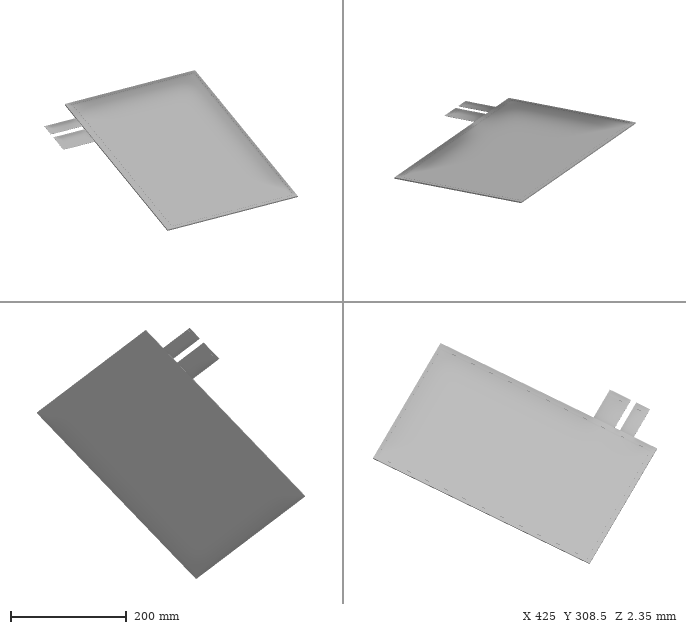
import cadquery as cq

panel_width = 425.0
panel_depth = 248.0
panel_thickness = 2.35

groove_outer_margins = (7.2, 5.5, 9.0, 4.5)
groove_inner_margins = (8.0, 7.0, 11.5, 7.0)
groove_depth = 0.2

tails = ((46.0, 27.0), (83.5, 41.5))
overall_depth = 308.5
tail_length = overall_depth - panel_depth
tail_root = 4.2
film_bottom = 1.0
film_thickness = 0.5
film_top = film_bottom + film_thickness

stiffener_length = 10.0
stiffener_thickness = 0.2
stiffener_overhang = 4.5

contact_pitch = 1.0
contact_width = contact_pitch / 2
contact_thickness = 0.1
contact_tip_gap = 0.5
contact_side_margin = 1.0
contact_length = stiffener_overhang - contact_tip_gap


def block(x, y, z, width, depth, height):
    """Box with its lowest corner at (x, y, z)."""
    return cq.Workplane("XY").box(width, depth, height, centered=False).translate((x, y, z))


def inset_block(margins, bottom, height):
    """Box inside the panel outline, set in from its four edges."""
    left, right, front, back = margins
    width = panel_width - left - right
    depth = panel_depth - front - back
    return block(left, front, bottom, width, depth, height)


def make_panel():
    groove_floor = panel_thickness - groove_depth
    groove = inset_block(groove_outer_margins, groove_floor, groove_depth).cut(
        inset_block(groove_inner_margins, groove_floor, groove_depth)
    )
    return block(0, 0, 0, panel_width, panel_depth, panel_thickness).cut(groove)


def make_contacts(left, width):
    """Row of contact fingers centred on the tail, joined to the film end and the stiffener."""
    count = int((width - 2 * contact_side_margin) / contact_pitch)
    row_width = (count - 1) * contact_pitch + contact_width
    first_x = left + (width - row_width) / 2
    y = contact_tip_gap - tail_length
    z = film_top - contact_thickness
    contacts = cq.Workplane("XY")
    for i in range(count):
        x = first_x + i * contact_pitch
        contacts.add(block(x, y, z, contact_width, contact_length, contact_thickness))
    return contacts.combine()


def make_tail(left, width):
    film_length = tail_length - stiffener_overhang
    film = block(left, -film_length, film_bottom, width, film_length + tail_root, film_thickness)
    stiffener = block(left, -tail_length, film_top, width, stiffener_length, stiffener_thickness)
    return film.union(stiffener).union(make_contacts(left, width))


result = make_panel()
for tail_left, tail_width in tails:
    result = result.union(make_tail(tail_left, tail_width))